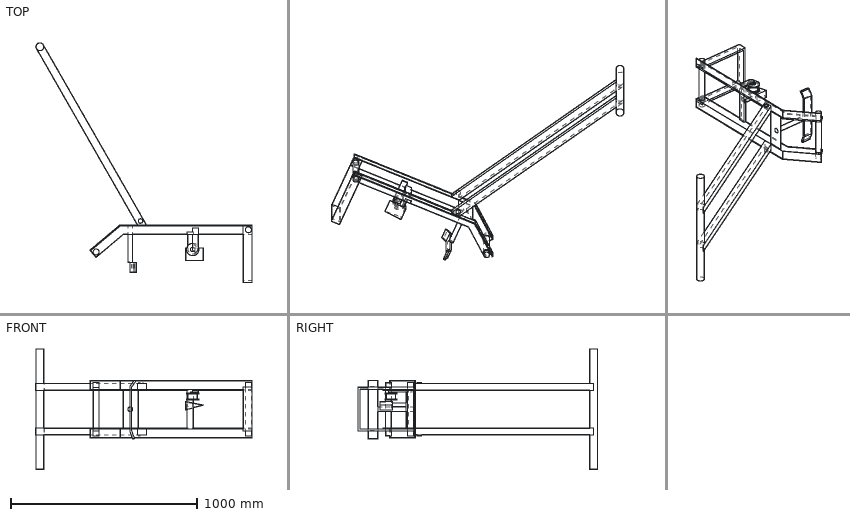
import cadquery as cq
import math


frame_end_x = 708.8
angle_depth = 51.0
angle_wall = 5.0
web_inner_z = 101.0
web_outer_z = web_inner_z + angle_wall
flange_outer_z = 153.5
bend_angle = 40.0
bent_leg_length = 211.0

pin_dia = 32.06
pin_half_length = 143.0
front_pin_tip_dia = 31.69
front_pin_shoulder_z = 117.0
rear_pin_x = frame_end_x - 20.0
rear_pin_y = -26.5
front_pin_from_end = 19.4
front_pin_depth = 29.0

cross_plate_left = 16.0
cross_plate_right = 98.7
rod_dia = 25.52
rod_x = 55.0
blade_back_y = -202.0
blade_depth = 53.0
blade_left = 52.2
blade_wall = 10.0
blade_upper_bend_z = 121.5
blade_lower_bend_z = -117.0
blade_top_z = 154.0
blade_upper_angle = 55.0
blade_lower_angle = 70.0
blade_lower_length = 47.0

post_left = 358.0
post_right = 393.5
post_wall = 13.5
post_front_y = -angle_depth
strap_width = 31.69
strap_x = 404.7
strap_back_y = -18.0
strap_tip_y = -145.5
strap_wall = 9.0
arm_left = 363.0
arm_right = 389.0
arm_bottom_z = 14.0
arm_top_z = 34.0
wedge_left = 352.0
wedge_tip_x = 447.0
wedge_back_y = -124.0
wedge_depth = 68.0
wedge_top_z = 41.0
wedge_bottom_z = -4.0
wedge_tip_z = 22.0

roller_x = 390.0
roller_y = -132.0
roller_flange_dia = 66.01
roller_hub_dia = 50.1
roller_bolt_dia = 24.45
roller_bottom_z = 48.0
roller_top_z = 88.0
roller_flange_wall = 7.0

grip_dia = 42.43
grip_length = 646.59
grip_x = -429.8
grip_y = 955.3
handle_foot_x = 117.3
handle_bar_cut_width = 49.0
handle_bar_inner_z = web_inner_z
handle_bar_outer_z = 138.2
hinge_bolt_dia = 24.45
hinge_bolt_x = 110.0
hinge_bolt_y = 20.5
hinge_bolt_end_z = 142.8

stand_width = 48.0
stand_wall = 12.0
stand_front_y = -309.54
stand_outer_z = web_outer_z + stand_wall


def box(x_range, y_range, z_range):
    """Box between two limits along each axis."""
    sizes = [high - low for low, high in (x_range, y_range, z_range)]
    corner = (x_range[0], y_range[0], z_range[0])
    return cq.Workplane("XY").box(*sizes, centered=False).translate(corner)


def upright(x, y, diameter, bottom, top):
    """Cylinder along Z."""
    return cq.Workplane("XY", origin=(x, y, bottom)).circle(diameter / 2).extrude(top - bottom)


def bent_strip(depth):
    """Plan outline of the frame's bent length, `depth` wide from its back face."""
    bend = math.radians(bend_angle)
    along = (-math.cos(bend), -math.sin(bend))
    across = (math.sin(bend), -math.cos(bend))
    end = (along[0] * bent_leg_length, along[1] * bent_leg_length)
    end_inside = (end[0] + across[0] * depth, end[1] + across[1] * depth)
    bend_inside = (depth * math.tan(bend / 2), -depth)
    return cq.Workplane("XY").polyline(
        [(0, 0), (frame_end_x, 0), (frame_end_x, -depth), bend_inside, end_inside, end]
    ).close()


def make_angle():
    """Upper angle iron: flat web below, flange standing up along the back."""
    web = bent_strip(angle_depth).extrude(angle_wall)
    flange = bent_strip(angle_wall).extrude(flange_outer_z - web_inner_z)
    return web.union(flange).translate((0, 0, web_inner_z))


def make_cross_pins():
    bend = math.radians(bend_angle)
    from_bend = bent_leg_length - front_pin_from_end
    front_x = -math.cos(bend) * from_bend + math.sin(bend) * front_pin_depth
    front_y = -math.sin(bend) * from_bend - math.cos(bend) * front_pin_depth
    front_core = upright(front_x, front_y, front_pin_tip_dia, -pin_half_length, pin_half_length)
    front_sleeve = upright(front_x, front_y, pin_dia, -front_pin_shoulder_z, front_pin_shoulder_z)
    rear = upright(rear_pin_x, rear_pin_y, pin_dia, -pin_half_length, pin_half_length)
    return front_core.union(front_sleeve).union(rear)


def make_blade():
    """Upright plate whose two ends are bent toward +X."""
    upper = math.radians(blade_upper_angle)
    lower = math.radians(blade_lower_angle)
    blade_right = blade_left + blade_wall
    upper_inner_bend_z = blade_upper_bend_z - blade_wall * math.tan((math.pi / 2 - upper) / 2)
    lower_inner_bend_z = blade_lower_bend_z + blade_wall * math.tan((math.pi / 2 - lower) / 2)
    top_left = blade_left + (blade_top_z - blade_upper_bend_z) / math.tan(upper)
    top_right = top_left + blade_wall / math.sin(upper)
    tip_x = blade_left + blade_lower_length * math.cos(lower)
    tip_z = blade_lower_bend_z - blade_lower_length * math.sin(lower)
    outline = [
        (blade_left, blade_upper_bend_z),
        (top_left, blade_top_z),
        (top_right, blade_top_z),
        (blade_right, upper_inner_bend_z),
        (blade_right, lower_inner_bend_z),
        (tip_x + blade_wall * math.sin(lower), tip_z + blade_wall * math.cos(lower)),
        (tip_x, tip_z),
        (blade_left, blade_lower_bend_z),
    ]
    plane = cq.Workplane("XZ", origin=(0, blade_back_y, 0))
    return plane.polyline(outline).close().extrude(blade_depth)


def make_blade_mount():
    """Cross plate between the angles, and the rod that carries the blade."""
    plate = box((cross_plate_left, cross_plate_right), (-angle_wall, 0), (-web_inner_z, web_inner_z))
    rod = (
        cq.Workplane("XZ", origin=(rod_x, -angle_wall, 0))
        .circle(rod_dia / 2)
        .extrude(-angle_wall - blade_back_y)
    )
    return plate.union(rod).union(make_blade())


def make_post():
    """Post between the angles, with the wedge on its arm."""
    post = box(
        (post_left, post_right),
        (post_front_y, post_front_y + post_wall),
        (-web_inner_z, web_inner_z),
    )
    arm = box((arm_left, arm_right), (wedge_back_y, post_front_y), (arm_bottom_z, arm_top_z))
    wedge = (
        cq.Workplane("XZ", origin=(0, wedge_back_y, 0))
        .polyline(
            [(wedge_left, wedge_bottom_z), (wedge_tip_x, wedge_tip_z), (wedge_left, wedge_top_z)]
        )
        .close()
        .extrude(wedge_depth)
    )
    return post.union(arm).union(wedge)


def make_strap():
    """Round-ended strap under the upper web that holds the roller."""
    radius = strap_width / 2
    round_y = strap_tip_y + radius
    return (
        cq.Workplane("XY", origin=(0, 0, web_inner_z - strap_wall))
        .moveTo(strap_x - radius, strap_back_y)
        .lineTo(strap_x - radius, round_y)
        .threePointArc((strap_x, strap_tip_y), (strap_x + radius, round_y))
        .lineTo(strap_x + radius, strap_back_y)
        .close()
        .extrude(strap_wall)
    )


def make_frame():
    upper_angle = make_angle()
    lower_angle = upper_angle.mirror("XY")
    frame = upper_angle.union(lower_angle)
    for member in (make_cross_pins(), make_blade_mount(), make_post(), make_strap()):
        frame = frame.union(member)
    return frame


def make_roller():
    """Flanged roller whose bolt reaches the underside of the strap."""
    hub = upright(roller_x, roller_y, roller_hub_dia, roller_bottom_z, roller_top_z)
    bolt = upright(roller_x, roller_y, roller_bolt_dia, roller_bottom_z, web_inner_z - strap_wall)
    roller = hub.union(bolt)
    for bottom in (roller_bottom_z, roller_top_z - roller_flange_wall):
        flange = upright(roller_x, roller_y, roller_flange_dia, bottom, bottom + roller_flange_wall)
        roller = roller.union(flange)
    return roller


def make_handle_side():
    """Upper slanted bar, both ends cut parallel to the frame's back, with its hinge bolt."""
    half_cut = handle_bar_cut_width / 2
    bar = (
        cq.Workplane("XY", origin=(0, 0, handle_bar_inner_z))
        .polyline(
            [
                (handle_foot_x - half_cut, 0),
                (handle_foot_x + half_cut, 0),
                (grip_x + half_cut, grip_y),
                (grip_x - half_cut, grip_y),
            ]
        )
        .close()
        .extrude(handle_bar_outer_z - handle_bar_inner_z)
    )
    bolt = upright(hinge_bolt_x, hinge_bolt_y, hinge_bolt_dia, handle_bar_inner_z, hinge_bolt_end_z)
    return bar.union(bolt)


def make_handle():
    grip = upright(grip_x, grip_y, grip_dia, -grip_length / 2, grip_length / 2)
    side = make_handle_side()
    return grip.union(side).union(side.mirror("XY"))


def make_stand():
    """U-shaped flat bar whose arms sit outside the two webs, with holes for the rear pin."""
    x_range = (frame_end_x - stand_width, frame_end_x)
    outer = box(x_range, (stand_front_y, -angle_wall), (-stand_outer_z, stand_outer_z))
    gap = box(x_range, (stand_front_y + stand_wall, -angle_wall), (-web_outer_z, web_outer_z))
    pin_hole = upright(rear_pin_x, rear_pin_y, pin_dia, -stand_outer_z, stand_outer_z)
    return outer.cut(gap).cut(pin_hole)


frame = make_frame()
handle = make_handle()
stand = make_stand()
roller = make_roller()

result = cq.Compound.makeCompound([frame.val(), handle.val(), stand.val(), roller.val()])